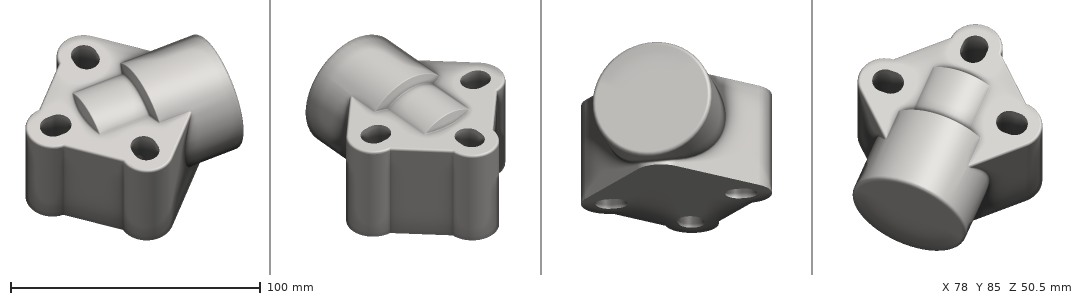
import cadquery as cq
import math

block_height = 43.0
lug_radius = 10.9
lug_offset = 28.1
front_wall_offset = 28.0
block_round = 1.0

slot_width = 10.5
slot_length = 12.9
slot_offset = 26.7

barrel_radius = 24.5
nose_radius = 21.0
axis_height = 26.0
barrel_end = 46.0
barrel_shoulder = 11.1
nose_shoulder = -13.0
cone_half_angle = 60
nose_tip_radius = 12.2
barrel_round = 1.5
junction_round = 0.5

break_height = block_height - axis_height
cone_slope = 1 / math.tan(math.radians(cone_half_angle))
seam_half_width = math.sqrt(barrel_radius**2 - break_height**2)
cone_foot = nose_shoulder - (nose_radius - break_height) * cone_slope

tolerance = 0.1


def make_block():
    tangent = lug_radius * math.sqrt(0.5)
    reach = lug_offset + lug_radius
    outer = lug_offset + tangent
    wall_distance = front_wall_offset - lug_offset * math.sqrt(0.5)
    half_chord = math.sqrt(lug_radius**2 - wall_distance**2)
    corner_inset = (half_chord - wall_distance) * math.sqrt(0.5)
    corner_side = (half_chord + wall_distance) * math.sqrt(0.5)
    corner_depth = lug_offset - corner_inset
    outline = (
        cq.Workplane("XY")
        .moveTo(-corner_side, -corner_depth)
        .threePointArc((0, -reach), (corner_side, -corner_depth))
        .lineTo(corner_depth, -corner_side)
        .threePointArc((reach, 0), (outer, tangent))
        .lineTo(tangent, outer)
        .threePointArc((0, reach), (-tangent, outer))
        .lineTo(-outer, tangent)
        .threePointArc((-reach, 0), (-corner_depth, -corner_side))
        .close()
    )
    return outline.extrude(block_height)


def make_barrel():
    step_foot = barrel_shoulder - (barrel_radius - nose_radius) * cone_slope
    nose_end = nose_shoulder - (nose_radius - nose_tip_radius) * cone_slope
    profile = [
        (0, barrel_end),
        (barrel_radius, barrel_end),
        (barrel_radius, barrel_shoulder),
        (nose_radius, step_foot),
        (nose_radius, nose_shoulder),
        (nose_tip_radius, nose_end),
        (0, nose_end),
    ]
    barrel = cq.Workplane("XY").polyline(profile).close().revolve(360, (0, 0, 0), (0, 1, 0))
    barrel = barrel.faces(">Y").edges().fillet(barrel_round)
    return barrel.translate((0, 0, axis_height))


def cut_slots(body):
    for angle in (180, 270, 0):
        slot = (
            cq.Workplane("XY")
            .center(slot_offset, 0)
            .slot2D(slot_length, slot_width)
            .extrude(block_height)
            .rotate((0, 0, 0), (0, 0, 1), angle)
        )
        body = body.cut(slot)
    return body


def is_top_edge(edge):
    box = edge.BoundingBox()
    return abs(box.zmin - block_height) < tolerance and abs(box.zmax - block_height) < tolerance


def is_slot_edge(edge):
    center = edge.Center()
    return any(
        math.hypot(center.x - x, center.y - y) < slot_length / 2
        for x, y in ((slot_offset, 0), (-slot_offset, 0), (0, -slot_offset))
    )


def is_barrel_seam(edge):
    """Edges on the block top where the barrel breaks through."""
    center = edge.Center()
    in_width = abs(center.x) < seam_half_width + tolerance
    return is_top_edge(edge) and in_width and center.y > cone_foot - tolerance


def is_block_rim(edge):
    return is_top_edge(edge) and not is_slot_edge(edge) and not is_barrel_seam(edge)


def is_barrel_step(edge):
    """Exposed arcs where the barrel changes diameter or turns into a cone."""
    box = edge.BoundingBox()
    is_arc_across = edge.geomType() == "CIRCLE" and box.ymax - box.ymin < tolerance
    rises_above = box.zmax > block_height + tolerance
    starts_at_top = box.zmin > block_height - tolerance
    return is_arc_across and rises_above and starts_at_top


def is_side_seam(edge):
    """Curves where the barrel leaves the slanted and rounded rear walls."""
    is_rear_curve = edge.geomType() == "BSPLINE" and edge.Center().y > lug_offset
    return edge.geomType() == "ELLIPSE" or is_rear_curve


def is_junction(edge):
    return is_barrel_seam(edge) or is_side_seam(edge)


def fillet_where(body, condition, radius):
    chosen = [edge for edge in body.edges().vals() if condition(edge)]
    return body.newObject(chosen).fillet(radius)


result = cut_slots(make_block()).union(make_barrel())
result = fillet_where(result, is_barrel_step, junction_round)
result = fillet_where(result, is_block_rim, block_round)
result = fillet_where(result, is_junction, junction_round)